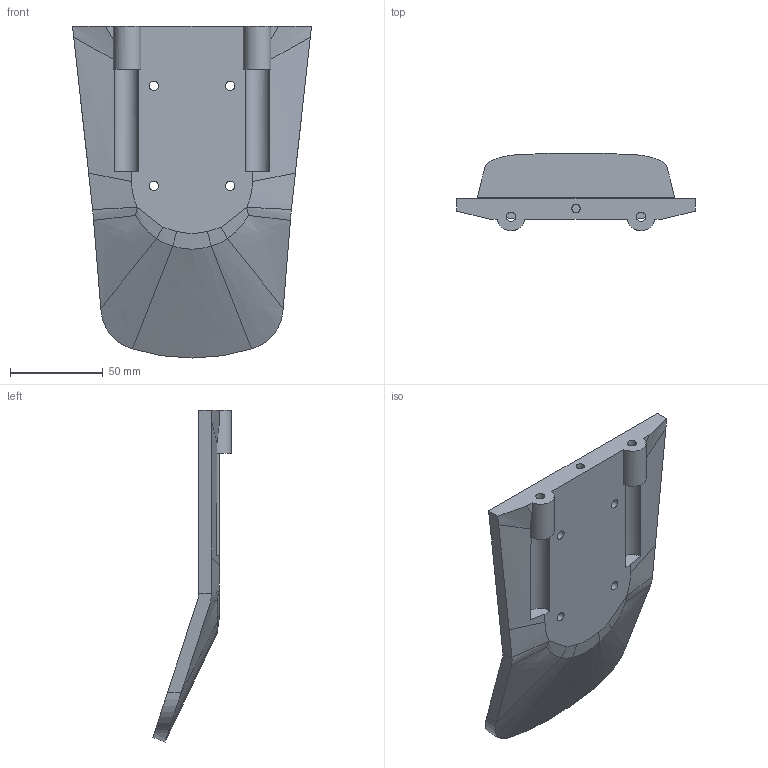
import cadquery as cq
import math


TOP_WIDTH = 128.66
HEIGHT = 178.8
DEPTH = 42.16

RIM_THICKNESS = 7.0
PAD_THICKNESS = 11.2
BEND_ANGLE = math.radians(18)
BEND_RADIUS = 12.0
BEND_HALF_WIDTH = 53.5
BLADE_HALF_WIDTH = 49.1
CORNER_START = 152.0
CORNER_END = 173.9
CORNER_BULGE = 0.165
TIP_HALF_CHORD = 32.0

PAD_HALF_WIDTH = 32.6
PAD_FLARE_HALF_WIDTH = 46.6
PAD_FLARE_END = 23.5
RIM_FLARE_END = 6.0
PAD_ROUND_START = 83.7
RIM_ROUND_START = 79.2
LIP_DEPTH = 111.6
LIP_CORNERS = ((29.5, 97.6), (15.8, 108.4), (8.3, 110.7))

BAND_THICKNESS = 10.0
BAND_DEPTH = 120.2
BAND_RADIUS = 34.5
BAND_HALF_WIDTHS = (30.4, 19.0, 10.4)

BARREL_X = 35.0
BARREL_Y = -10.0
BARREL_RADIUS = 7.5
BARREL_LENGTH = 23.3
PIN_DIAMETER = 5.0
GROOVE_X = 35.3
GROOVE_RADIUS = 6.6
GROOVE_END = 78.3

SCREW_DIAMETER = 5.0
SCREW_X = 20.5
SCREW_DEPTHS = (32.2, 86.1)
TOP_HOLE_DIAMETER = 4.55
TOP_HOLE_Y = -5.5
TOP_HOLE_DEPTH = 20.0

TIP_BACK_Y = DEPTH - (BARREL_RADIUS - BARREL_Y)
TIP_BACK_DEPTH = HEIGHT - RIM_THICKNESS * math.sin(BEND_ANGLE)
BEND_CORNER = TIP_BACK_DEPTH - TIP_BACK_Y / math.tan(BEND_ANGLE)
BEND_TANGENT = BEND_RADIUS * math.tan(BEND_ANGLE / 2)
BEND_START = BEND_CORNER - BEND_TANGENT


def on_upper(x, depth, thickness):
    """Point on the upper plate, at a height above its back face."""
    return cq.Vector(x, -thickness, -depth)


def on_bend(x, angle, thickness):
    """Point in the bend, an angle past its start."""
    radius = BEND_RADIUS + thickness
    return cq.Vector(x, BEND_RADIUS - radius * math.cos(angle), -BEND_START - radius * math.sin(angle))


def on_blade(x, depth, thickness):
    """Point on the lower blade, at a depth below the top edge."""
    bend_end = on_bend(x, BEND_ANGLE, thickness)
    drop = depth + bend_end.z
    return bend_end + cq.Vector(0, drop * math.tan(BEND_ANGLE), -drop)


def line(start, end):
    return cq.Edge.makeLine(start, end)


def arc(start, middle, end):
    return cq.Edge.makeThreePointArc(start, middle, end)


def half_rim(thickness):
    """Edges of the right half of the rim from the top edge to the tip arc."""
    upper_taper = (TOP_WIDTH / 2 - BEND_HALF_WIDTH) / BEND_START
    blade_taper = (BEND_HALF_WIDTH - BLADE_HALF_WIDTH) / (CORNER_START - BEND_START)

    def upper_point(depth):
        return on_upper(TOP_WIDTH / 2 - upper_taper * depth, depth, thickness)

    def bend_point(angle):
        drop = (BEND_RADIUS + thickness) * math.sin(angle)
        return on_bend(BEND_HALF_WIDTH - blade_taper * drop, angle, thickness)

    top = upper_point(0)
    flare = upper_point(RIM_FLARE_END)
    round_start = upper_point(RIM_ROUND_START)
    bend_start = upper_point(BEND_START)
    bend_middle = bend_point(BEND_ANGLE / 2)
    bend_end = bend_point(BEND_ANGLE)
    corner_start = on_blade(BLADE_HALF_WIDTH, CORNER_START, thickness)
    corner_end = on_blade(TIP_HALF_CHORD, CORNER_END, thickness)
    corner_middle = on_blade(
        (BLADE_HALF_WIDTH + TIP_HALF_CHORD) / 2 + CORNER_BULGE * (CORNER_END - CORNER_START),
        (CORNER_START + CORNER_END) / 2 + CORNER_BULGE * (BLADE_HALF_WIDTH - TIP_HALF_CHORD),
        thickness,
    )
    return [
        line(top, flare),
        line(flare, round_start),
        line(round_start, bend_start),
        arc(bend_start, bend_middle, bend_end),
        line(bend_end, corner_start),
        arc(corner_start, corner_middle, corner_end),
    ]


def tip_arc(depth, thickness):
    """Shallow arc across the blade tip, lowest at the given depth."""
    return arc(
        on_blade(TIP_HALF_CHORD, CORNER_END, thickness),
        on_blade(0, depth, thickness),
        on_blade(-TIP_HALF_CHORD, CORNER_END, thickness),
    )


def band_point(x):
    """Point on the circular lower edge of the band."""
    rise = BAND_RADIUS - math.sqrt(BAND_RADIUS**2 - x**2)
    return on_upper(x, BAND_DEPTH - rise, BAND_THICKNESS)


def band_arc(x_start, x_end):
    return arc(band_point(x_start), band_point((x_start + x_end) / 2), band_point(x_end))


def lip_points():
    """Corners of the right half of the lip, top to bottom."""
    return [on_upper(x, depth, PAD_THICKNESS) for x, depth in LIP_CORNERS]


def lip_tip_arc():
    """Arc across the lowest part of the lip."""
    end = lip_points()[-1]
    return arc(end, on_upper(0, LIP_DEPTH, PAD_THICKNESS), cq.Vector(-end.x, end.y, end.z))


def half_lip():
    corner, upper_seam, lower_seam = lip_points()
    return [line(corner, upper_seam), line(upper_seam, lower_seam)]


def half_band():
    """Lower edges of the band, facing half_lip()."""
    corner, upper_seam, lower_seam = BAND_HALF_WIDTHS
    return [band_arc(corner, upper_seam), band_arc(upper_seam, lower_seam)]


def half_pad():
    """Edges of the flat pad from the top edge round to the start of the lip."""
    top = on_upper(PAD_FLARE_HALF_WIDTH, 0, PAD_THICKNESS)
    flare = on_upper(PAD_HALF_WIDTH, PAD_FLARE_END, PAD_THICKNESS)
    round_start = on_upper(PAD_HALF_WIDTH, PAD_ROUND_START, PAD_THICKNESS)
    downward = cq.Vector(0, 0, -1)
    return [
        line(top, flare),
        line(flare, round_start),
        cq.Edge.makeTangentArc(round_start, downward, lip_points()[0]),
    ]


def mirrored(shapes):
    """Mirror images of the shapes in the plane of symmetry."""
    return [shape.mirror("YZ") for shape in shapes]


def across(point):
    """Straight edge from a point to its mirror image."""
    return line(point, cq.Vector(-point.x, point.y, point.z))


def flat_face(edges):
    """Planar face inside a closed outline, its edges given in any order."""
    return cq.Face.makeFromWires(cq.Wire.combine(edges)[0])


def upright_cylinder(x, y, radius, top_depth, bottom_depth):
    plane = cq.Workplane("XY", origin=(x, y, -bottom_depth))
    return plane.circle(radius).extrude(bottom_depth - top_depth)


def make_body():
    """Sew the bent plate with its raised pad from its bounding faces."""
    front_rim = half_rim(RIM_THICKNESS)
    back_rim = half_rim(0)
    pad_edges = half_pad()
    lip_edges = half_lip()
    band_edges = half_band()
    ruled = cq.Face.makeRuledSurface

    band_end = line(lip_edges[0].startPoint(), band_edges[0].startPoint())
    slope_tops = pad_edges + [band_end] + band_edges
    paired_faces = [ruled(outer, inner) for outer, inner in zip(front_rim, slope_tops)]
    paired_faces += [ruled(front, back) for front, back in zip(front_rim, back_rim)]
    paired_faces += [ruled(lip, band) for lip, band in zip(lip_edges, band_edges)]

    front_tip = tip_arc(HEIGHT, RIM_THICKNESS)
    back_tip = tip_arc(TIP_BACK_DEPTH, 0)
    seam = BAND_HALF_WIDTHS[-1]
    band_tip = band_arc(seam, -seam)
    lip_tip = lip_tip_arc()
    tip_faces = [ruled(front_tip, band_tip), ruled(front_tip, back_tip), ruled(lip_tip, band_tip)]

    pad_top_corner = pad_edges[0].startPoint()
    pad_top = across(pad_top_corner)
    pad_outline = pad_edges + lip_edges
    pad_face = flat_face(pad_outline + [pad_top, lip_tip] + mirrored(pad_outline))

    half_top = [
        line(pad_top_corner, front_rim[0].startPoint()),
        line(front_rim[0].startPoint(), back_rim[0].startPoint()),
    ]
    back_top = across(back_rim[0].startPoint())
    top_face = flat_face(half_top + [pad_top, back_top] + mirrored(half_top))

    upper_edges = back_rim[:3]
    bend_edge = back_rim[3]
    blade_edges = back_rim[4:]
    bend_top = across(bend_edge.startPoint())
    bend_bottom = across(bend_edge.endPoint())
    upper_back = flat_face(upper_edges + [back_top, bend_top] + mirrored(upper_edges))
    bend_back = ruled(bend_edge, bend_edge.mirror("YZ"))
    blade_back = flat_face(blade_edges + [bend_bottom, back_tip] + mirrored(blade_edges))

    faces = paired_faces + mirrored(paired_faces) + tip_faces
    faces += [pad_face, top_face, upper_back, bend_back, blade_back]
    shell = cq.Shell.makeShell(faces)
    return cq.Workplane(obj=cq.Solid.makeSolid(shell).fix())


def add_hinges(body):
    """Add both barrels, bored down into an open groove below each."""
    for side in (-1, 1):
        x = side * BARREL_X
        groove = upright_cylinder(side * GROOVE_X, BARREL_Y, GROOVE_RADIUS, BARREL_LENGTH, GROOVE_END)
        barrel = upright_cylinder(x, BARREL_Y, BARREL_RADIUS, 0, BARREL_LENGTH)
        pin_hole = upright_cylinder(x, BARREL_Y, PIN_DIAMETER / 2, 0, BARREL_LENGTH)
        body = body.cut(groove).union(barrel).cut(pin_hole)
    return body


def cut_holes(body):
    """Four screw holes through the plate and one blind hole in the top edge."""
    screw_points = [(x, -depth) for x in (-SCREW_X, SCREW_X) for depth in SCREW_DEPTHS]
    screws = cq.Workplane("XZ").pushPoints(screw_points).circle(SCREW_DIAMETER / 2).extrude(PAD_THICKNESS)
    top_hole = upright_cylinder(0, TOP_HOLE_Y, TOP_HOLE_DIAMETER / 2, 0, TOP_HOLE_DEPTH)
    return body.cut(screws).cut(top_hole)


result = cut_holes(add_hinges(make_body())).solids()